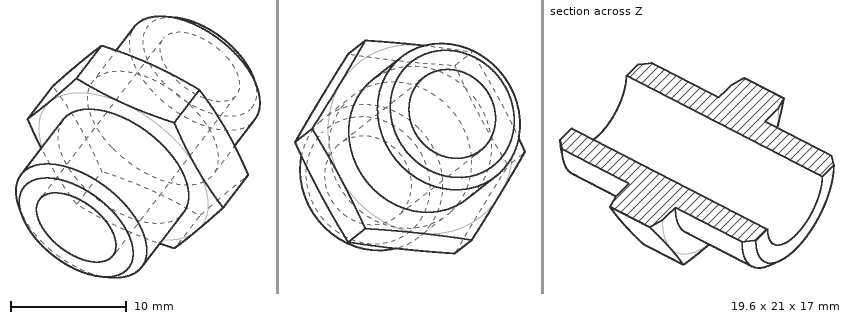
import cadquery as cq
import math

length = 21.0
barrel_diameter = 13.17
bore_diameter = 8.0
end_chamfer = 0.86

hex_across_flats = 17.0
hex_across_corners = hex_across_flats / math.cos(math.radians(30))
hex_width = 5.0
hex_chamfer_angle = 15.0
corner_clearance = 0.2


def cylinder_along_y(diameter, height):
    return cq.Workplane("XZ").circle(diameter / 2).extrude(height / 2, both=True)


def chamfered_hexagon():
    """Hexagon with corners on X, turned down by a shallow cone at each end."""
    hexagon = cq.Workplane("XZ").polygon(6, hex_across_corners).extrude(hex_width / 2, both=True)

    face_radius = hex_across_flats / 2
    outer_radius = hex_across_corners / 2 + corner_clearance
    chamfer_drop = (outer_radius - face_radius) * math.tan(math.radians(hex_chamfer_angle))
    half_width = hex_width / 2
    envelope = (
        cq.Workplane("XY")
        .moveTo(0, -half_width)
        .lineTo(face_radius, -half_width)
        .lineTo(outer_radius, -half_width + chamfer_drop)
        .lineTo(outer_radius, half_width - chamfer_drop)
        .lineTo(face_radius, half_width)
        .lineTo(0, half_width)
        .close()
        .revolve(360, (0, 0, 0), (0, 1, 0))
    )
    return hexagon.intersect(envelope)


barrel = cylinder_along_y(barrel_diameter, length).faces("<Y or >Y").edges().chamfer(end_chamfer)
bore = cylinder_along_y(bore_diameter, length)

result = barrel.union(chamfered_hexagon()).cut(bore)